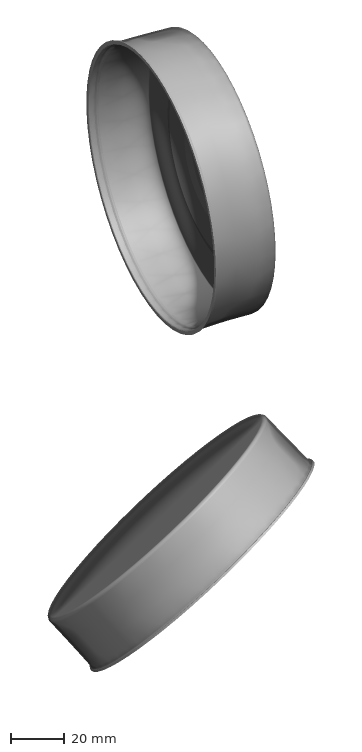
import cadquery as cq
import math

rim_radius = 57.4
height = 26.0
sheet = 1.1
draft_angle = 0.9
wall_root_radius = 56.4
corner_radius = 1.5

flange_thickness = 0.8
flange_edge_slope = 0.2
flange_root_fillet = 0.6

mouth_radius = 55.7
mouth_depth = 2.5
mouth_taper_end = 3.6
mouth_chamfer = 0.2
mouth_blend_radius = 1.7

ring_height = 1.0
ring_inner_foot = 17.5
ring_outer_foot = 38.4
ring_slope_width = 3.7

pick_margin = 0.06

draft = math.tan(math.radians(draft_angle))
wall_end_radius = wall_root_radius - (height - flange_thickness) * draft
floor_depth = height - sheet
inner_corner_radius = corner_radius - sheet


def wall_inside(depth):
    """Inner wall radius at a distance from the open end."""
    return wall_root_radius - sheet - (depth - flange_thickness) * draft


def revolve(points):
    """Turn a closed (radius, depth) outline about the Y axis."""
    return cq.Workplane("XY").polyline(points).close().revolve(360, (0, 0, 0), (0, 1, 0))


def ring_edge(radius, depth):
    """Selector for the circular edge of the given radius and depth."""
    reach = radius + pick_margin
    return cq.selectors.BoxSelector(
        (-reach, depth - pick_margin, -reach),
        (reach, depth + pick_margin, reach),
        boundingbox=True,
    )


def make_body():
    body = revolve([
        (0, 0),
        (rim_radius, 0),
        (rim_radius - flange_edge_slope, flange_thickness),
        (wall_root_radius, flange_thickness),
        (wall_end_radius, height),
        (0, height),
    ])
    body = body.faces(">Y").edges().fillet(corner_radius)
    flange_root = ring_edge(wall_root_radius, flange_thickness)
    return body.edges(flange_root).fillet(flange_root_fillet)


def make_cavity():
    cavity = revolve([
        (0, 0),
        (mouth_radius + mouth_chamfer, 0),
        (mouth_radius, mouth_chamfer),
        (mouth_radius, mouth_depth),
        (wall_inside(mouth_taper_end), mouth_taper_end),
        (wall_inside(floor_depth), floor_depth),
        (0, floor_depth),
    ])
    cavity = cavity.faces(">Y").edges().fillet(inner_corner_radius)
    mouth_blend = ring_edge(wall_inside(mouth_taper_end), mouth_taper_end)
    return cavity.edges(mouth_blend).fillet(mouth_blend_radius)


def make_ring():
    ring_top = floor_depth - ring_height
    return revolve([
        (ring_inner_foot, floor_depth),
        (ring_inner_foot + ring_slope_width, ring_top),
        (ring_outer_foot - ring_slope_width, ring_top),
        (ring_outer_foot, floor_depth),
    ])


cup = make_body().cut(make_cavity()).union(make_ring())

result = cup.translate((0, -height / 2, 0))